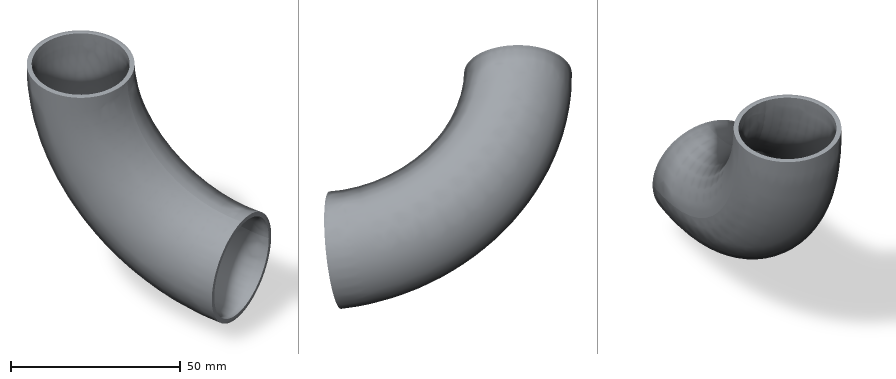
import cadquery as cq

bend_radius = 55.0
top_diameter = 31.9
side_diameter = 34.9
wall = 1.45


def tapered_bend(start_diameter, end_diameter):
    """Solid bend from the upward-facing end to the +X-facing end."""
    path = cq.Workplane("XZ").moveTo(-bend_radius, 0).radiusArc((0, -bend_radius), -bend_radius)
    side_plane = cq.Workplane("YZ", origin=(0, 0, -bend_radius))
    return (
        cq.Workplane("XY", origin=(-bend_radius, 0, 0))
        .circle(start_diameter / 2)
        .copyWorkplane(side_plane)
        .circle(end_diameter / 2)
        .sweep(path, multisection=True)
    )


outer = tapered_bend(top_diameter, side_diameter)
bore = tapered_bend(top_diameter - 2 * wall, side_diameter - 2 * wall)

result = outer.cut(bore)